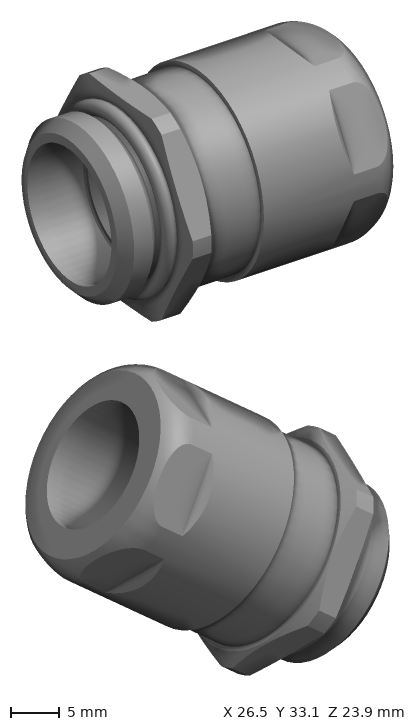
import cadquery as cq
import math

length = 33.1

thread_radius = 10.0
thread_chamfer = 1.25
thread_end = 3.57
neck_radius = 8.95
relief_end = thread_end + thread_radius - neck_radius

ring_radius = 10.72
ring_section_radius = (ring_radius - neck_radius) / 2
ring_center_radius = neck_radius + ring_section_radius
ring_center_y = 5.7

hex_start = 6.12
hex_end = 9.47
hex_across_flats = 23.9
hex_corner_radius = 13.25
hex_face_radius = 11.72
hex_front_chamfer = 0.2
hex_rear_chamfer = 0.83

body_radius = 22.4 / 2
nut_radius = 23.7 / 2
nut_start = 16.05
dome_start = 30.05
dome_arc_radius = 3.8
flat_across = 21.9
flat_start = 27.27
flat_count = 6

front_bore_radius = 15.4 / 2
front_bore_depth = 6.9
lip_radius = 7.5
lip_end = front_bore_depth + front_bore_radius - lip_radius
through_radius = 14.15 / 2


def axial_cylinder(radius, start, end):
    """Solid cylinder on the Y axis."""
    return cq.Workplane("XZ", origin=(0, start, 0)).circle(radius).extrude(start - end)


def revolve_profile(profile):
    """Revolve an (radius, Y) profile about the Y axis."""
    return profile.close().revolve(360, (0, 0, 0), (0, 1, 0))


def make_thread_end():
    return revolve_profile(
        cq.Workplane("XY")
        .moveTo(0, 0)
        .lineTo(thread_radius - thread_chamfer, 0)
        .lineTo(thread_radius, thread_chamfer)
        .lineTo(thread_radius, thread_end)
        .lineTo(neck_radius, relief_end)
        .lineTo(neck_radius, hex_start)
        .lineTo(0, hex_start)
    )


def make_sealing_ring():
    return (
        cq.Workplane("XY")
        .center(ring_center_radius, ring_center_y)
        .circle(ring_section_radius)
        .revolve(360, (-ring_center_radius, 0, 0), (-ring_center_radius, 1, 0))
    )


def make_hex_flange():
    """Hexagon with flats facing +Z and -Z, its corners turned round and chamfered."""
    across_corners = hex_across_flats / math.cos(math.pi / 6)
    hexagon = (
        cq.Workplane("XZ", origin=(0, hex_start, 0))
        .polygon(6, across_corners)
        .extrude(hex_start - hex_end)
    )
    turned_envelope = revolve_profile(
        cq.Workplane("XY")
        .moveTo(0, hex_start)
        .lineTo(hex_face_radius, hex_start)
        .lineTo(hex_corner_radius, hex_start + hex_front_chamfer)
        .lineTo(hex_corner_radius, hex_end - hex_rear_chamfer)
        .lineTo(hex_face_radius, hex_end)
        .lineTo(0, hex_end)
    )
    return hexagon.intersect(turned_envelope)


def make_cap_nut():
    """Domed nut with six wrench flats that run out at 45 degrees."""
    dome_height = length - dome_start
    dome_center_radius = nut_radius - dome_arc_radius
    end_radius = dome_center_radius + math.sqrt(dome_arc_radius**2 - dome_height**2)
    half_angle = math.asin(dome_height / dome_arc_radius) / 2
    arc_middle = (
        dome_center_radius + dome_arc_radius * math.cos(half_angle),
        dome_start + dome_arc_radius * math.sin(half_angle),
    )
    nut = revolve_profile(
        cq.Workplane("XY")
        .moveTo(0, nut_start)
        .lineTo(nut_radius, nut_start)
        .lineTo(nut_radius, dome_start)
        .threePointArc(arc_middle, (end_radius, length))
        .lineTo(0, length)
    )
    flat_height = flat_across / 2
    cut_depth = 2 * (nut_radius - flat_height)
    flat_cutter = (
        cq.Workplane("YZ")
        .moveTo(flat_start, flat_height)
        .lineTo(length, flat_height)
        .lineTo(length, flat_height + cut_depth)
        .lineTo(flat_start - cut_depth, flat_height + cut_depth)
        .close()
        .extrude(nut_radius, both=True)
    )
    for index in range(flat_count):
        angle = index * 360 / flat_count
        nut = nut.cut(flat_cutter.rotate((0, 0, 0), (0, 1, 0), angle))
    return nut


def make_bore():
    return revolve_profile(
        cq.Workplane("XY")
        .moveTo(0, 0)
        .lineTo(front_bore_radius, 0)
        .lineTo(front_bore_radius, front_bore_depth)
        .lineTo(lip_radius, lip_end)
        .lineTo(through_radius, lip_end)
        .lineTo(through_radius, length)
        .lineTo(0, length)
    )


result = (
    make_thread_end()
    .union(make_hex_flange())
    .union(make_sealing_ring())
    .union(axial_cylinder(body_radius, hex_end, nut_start))
    .union(make_cap_nut())
    .cut(make_bore())
)